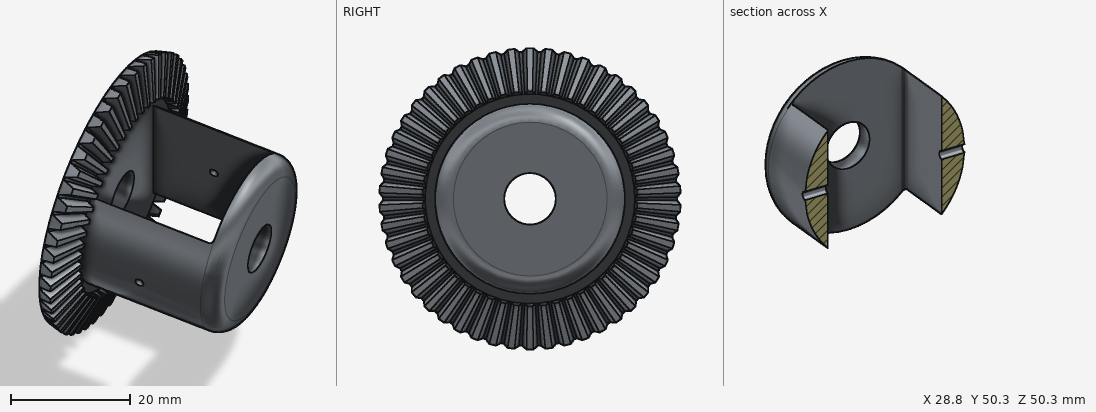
import cadquery as cq


total_length = 28.8

tooth_count = 50
back_radius = 24.5
tip_outer_x = 2.45
tip_outer_radius = 25.15
tip_inner_x = 4.65
tip_inner_radius = 17.9
root_x = 0.3
disc_thickness = 3.0
root_gap_width = 0.55
tip_gap_width = 2.0

wall_radius = 15.85
window_width = 22.55
window_fillet = 0.65
flange_thickness = 3.0

axle_hole_diameter = 8.55
pin_hole_diameter = 1.5

flange_x = total_length - flange_thickness

tip_slope = (tip_inner_x - tip_outer_x) / (tip_outer_radius - tip_inner_radius)
apex_x = tip_outer_x + tip_outer_radius * tip_slope
back_slope = (tip_outer_radius - back_radius) / tip_outer_x


def turned(profile):
    """Solid of revolution about X from (x, radius) points."""
    return cq.Workplane("XY").polyline(profile).close().revolve(360, (0, 0, 0), (1, 0, 0))


def x_cylinder(diameter, start_x, length):
    return cq.Workplane("YZ", origin=(start_x, 0, 0)).circle(diameter / 2).extrude(length)


def gear_blank():
    face_drop = tip_inner_x - disc_thickness
    return turned([
        (0, 0),
        (0, back_radius),
        (tip_outer_x, tip_outer_radius),
        (tip_inner_x, tip_inner_radius),
        (disc_thickness, tip_inner_radius - face_drop * back_slope),
        (disc_thickness, 0),
    ])


def gap_section(scale):
    """Tooth gap outline on the back cone at +Z, scaled about the apex."""
    overshoot = 1.5
    top_x = root_x + overshoot * (tip_outer_x - root_x)
    top_width = root_gap_width + overshoot * (tip_gap_width - root_gap_width)

    def point(x, y):
        radius = back_radius + back_slope * x
        return cq.Vector(apex_x + scale * (x - apex_x), scale * y, scale * radius)

    return cq.Wire.makePolygon([
        point(root_x, -root_gap_width / 2),
        point(root_x, root_gap_width / 2),
        point(top_x, top_width / 2),
        point(top_x, -top_width / 2),
    ], close=True)


def bevel_gear():
    beyond_large_end = 1.1
    beyond_small_end = 0.6
    gap = cq.Solid.makeLoft([gap_section(beyond_large_end), gap_section(beyond_small_end)], True)
    pitch_angle = 360 / tooth_count
    gaps = [
        gap.rotate(cq.Vector(0, 0, 0), cq.Vector(1, 0, 0), (i + 0.5) * pitch_angle)
        for i in range(tooth_count)
    ]
    return cq.Workplane(gear_blank().val().cut(*gaps))


def walls_and_flange():
    drum = x_cylinder(2 * wall_radius, disc_thickness, total_length - disc_thickness)
    drum = drum.faces(">X").edges().fillet(flange_thickness)
    window_length = flange_x - disc_thickness
    window = (
        cq.Workplane("XY")
        .box(window_length, window_width, 2 * wall_radius, centered=(False, True, True))
        .translate((disc_thickness, 0, 0))
        .edges("|Z and >X")
        .fillet(window_fillet)
    )
    return drum.cut(window)


axle_hole = x_cylinder(axle_hole_diameter, 0, total_length)
pin_hole = (
    cq.Workplane("XZ", origin=(total_length / 2, 0, 0))
    .circle(pin_hole_diameter / 2)
    .extrude(wall_radius, both=True)
)

result = bevel_gear().union(walls_and_flange()).cut(axle_hole).cut(pin_hole)